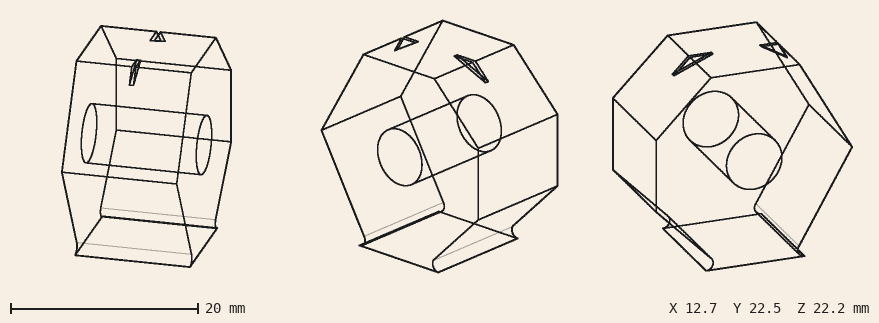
import cadquery as cq
import math

thickness = 12.7
half_depth = 11.24
body_half_height = 10.43
overall_height = 22.22
bore_diameter = 6.35

nose_angle = math.radians(60)
bevel_angle = math.radians(45)
bevel_size = 6.3
front_corner_y = -half_depth + body_half_height / math.tan(nose_angle)
back_corner_y = half_depth - bevel_size
bevel_end_z = body_half_height - bevel_size

foot_overhang = 0.56
lip_thickness = 0.011
foot_z = body_half_height - overall_height
lip_top_z = foot_z + lip_thickness
front_lip_y = front_corner_y - foot_overhang
back_lip_y = back_corner_y + foot_overhang

foot_height = 1.25
foot_start_z = foot_z + foot_height
front_foot_y = -half_depth - foot_start_z / math.tan(nose_angle)
back_foot_y = half_depth - (-bevel_end_z - foot_start_z) / math.tan(bevel_angle)

notch_width = 0.45
front_notch_leg = 1.98
back_notch_leg = 2.6


def foot_arc_midpoint(start_y, lip_y):
    """Innermost point of the arc that starts on a slope and meets the lip horizontally."""
    run = abs(lip_y - start_y)
    rise = foot_start_z - lip_top_z
    radius = (run**2 + rise**2) / (2 * rise)
    return (lip_y - math.copysign(radius, lip_y), lip_top_z + radius)


def make_body():
    """Extrude the YZ outline of the block and foot along X."""
    return (
        cq.Workplane("YZ")
        .moveTo(front_corner_y, body_half_height)
        .lineTo(back_corner_y, body_half_height)
        .lineTo(half_depth, bevel_end_z)
        .lineTo(half_depth, -bevel_end_z)
        .lineTo(back_foot_y, foot_start_z)
        .threePointArc(foot_arc_midpoint(back_foot_y, back_lip_y), (back_lip_y, lip_top_z))
        .lineTo(back_lip_y, foot_z)
        .lineTo(front_lip_y, foot_z)
        .lineTo(front_lip_y, lip_top_z)
        .threePointArc(foot_arc_midpoint(front_foot_y, front_lip_y), (front_foot_y, foot_start_z))
        .lineTo(-half_depth, 0)
        .close()
        .extrude(thickness / 2, both=True)
    )


def make_ridge_notch(ridge_y, outward, slope_angle, leg):
    """Triangular cutter whose flat floor spans equal legs on both faces of a ridge.

    outward is the Y direction (+1 or -1) in which the sloping face descends.
    """
    slope_end = (
        ridge_y + outward * leg * math.cos(slope_angle),
        body_half_height - leg * math.sin(slope_angle),
    )
    top_end = (ridge_y - outward * leg, body_half_height)
    return (
        cq.Workplane("YZ")
        .polyline([(ridge_y, body_half_height), slope_end, top_end])
        .close()
        .extrude(notch_width / 2, both=True)
    )


bore = cq.Workplane("YZ").circle(bore_diameter / 2).extrude(thickness / 2, both=True)
front_notch = make_ridge_notch(front_corner_y, -1, nose_angle, front_notch_leg)
back_notch = make_ridge_notch(back_corner_y, 1, bevel_angle, back_notch_leg)

result = make_body().cut(bore).cut(front_notch).cut(back_notch)